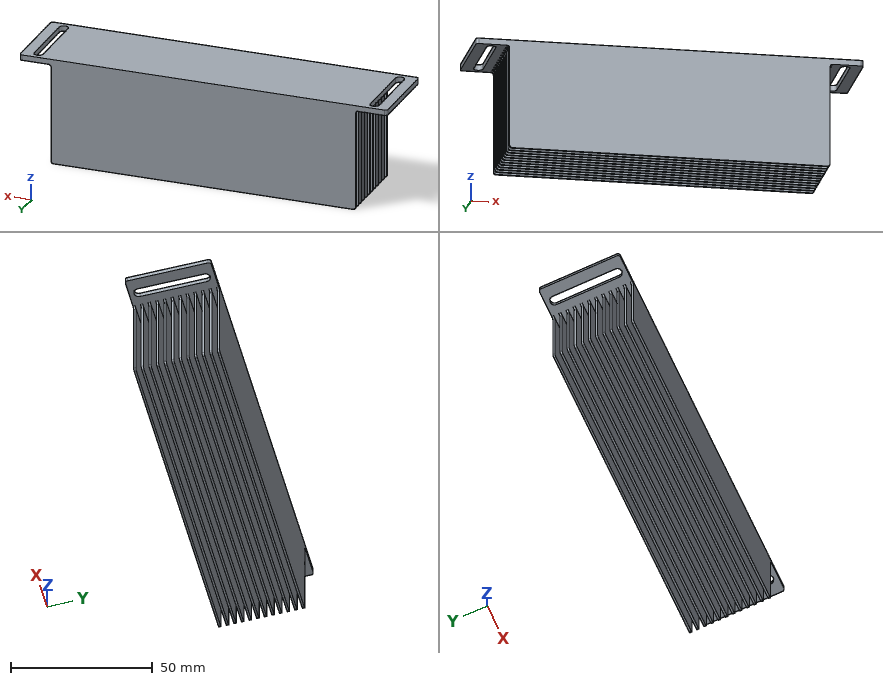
import cadquery as cq

plate_length = 139.0
plate_width = 31.4
plate_thickness = 2.1
plate_corner_radius = 1.0

total_height = 40.0
fin_count = 12
fin_thickness = 0.8
fin_length = 115.1
fin_corner_radius = 1.0
fin_root_radius = 1.0
fin_height = total_height - plate_thickness
fin_pitch = (plate_width - fin_thickness) / (fin_count - 1)

slot_length = 27.8
slot_width = 3.3
slot_end_distance = 6.0
slot_spacing = plate_length - 2 * slot_end_distance


def make_plate():
    """Flat plate with its underside at Z = 0, rounded corners and two slots across its width."""
    plate = (
        cq.Workplane("XY")
        .box(plate_length, plate_width, plate_thickness, centered=(True, True, False))
        .edges("|Z")
        .fillet(plate_corner_radius)
    )
    slots = (
        cq.Workplane("XY")
        .rarray(slot_spacing, 1.4, 2, 1)
        .slot2D(slot_length, slot_width, angle=90)
        .extrude(plate_thickness)
    )
    return plate.cut(slots)


def make_fin(y_center):
    """Thin lengthwise fin with rounded lower corners and ends that flare out into the plate."""
    half_length = fin_length / 2
    root_half_length = half_length + fin_root_radius
    bottom_half_length = half_length - fin_corner_radius
    corner_z = fin_corner_radius - fin_height
    return (
        cq.Workplane("XZ", origin=(0, y_center, 0))
        .moveTo(-root_half_length, 0)
        .lineTo(root_half_length, 0)
        .radiusArc((half_length, -fin_root_radius), -fin_root_radius)
        .lineTo(half_length, corner_z)
        .radiusArc((bottom_half_length, -fin_height), fin_corner_radius)
        .lineTo(-bottom_half_length, -fin_height)
        .radiusArc((-half_length, corner_z), fin_corner_radius)
        .lineTo(-half_length, -fin_root_radius)
        .radiusArc((-root_half_length, 0), -fin_root_radius)
        .close()
        .extrude(fin_thickness / 2, both=True)
    )


result = make_plate()
first_fin_y = -(plate_width - fin_thickness) / 2
for index in range(fin_count):
    result = result.union(make_fin(first_fin_y + index * fin_pitch))